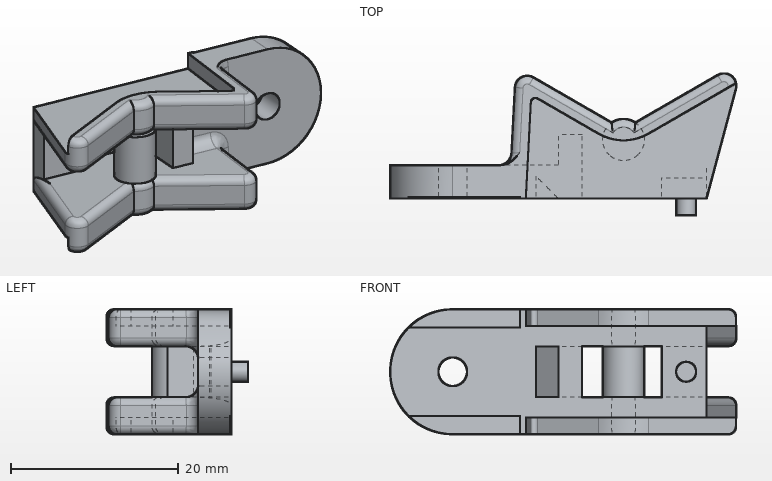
import cadquery as cq
import math


width = 15.0
half_width = width / 2
plate_thickness = 4.0
pivot_hole_diameter = 3.4
recess_inner_z = 5.3
recess_end_x = 8.05
recess_depth = 0.2
pin_x = 27.95
pin_diameter = 2.4
pin_length = 2.0

channel_width = 6.1
half_channel = channel_width / 2
overall_height = 15.0
front_foot_x = 6.73
front_draft = math.radians(3)
cradle_x = 20.45
cradle_slope = math.radians(30)
tip_radius = 1.5
rear_tip_x = 33.97
rear_lean = math.radians(15)
edge_radius = 1.0
foot_radius = 1.5

bar_radius = 2.5
bar_y = 7.05
web_top_y = 7.65
rear_floor_thickness = 2.45

pocket_floor_z = 5.5
pocket_foot_x = 8.75
rim_width = 1.95
pocket_valley_radius = 6.0
pocket_corner_radius = 0.55

wedge_start_x = 10.0
wedge_end_x = 12.65
window_start_x = 15.5
window_end_x = 25.0

tolerance = 0.001

rear_tip_center_x = rear_tip_x - tip_radius
rear_tip_center_y = overall_height - tip_radius
slope_run = math.tan(cradle_slope)
slope_cos = math.cos(cradle_slope)
cradle_y = rear_tip_center_y + tip_radius / slope_cos - (rear_tip_center_x - cradle_x) * slope_run

rear_lean_run = math.tan(rear_lean)
plate_end_x = rear_tip_center_x + tip_radius / math.cos(rear_lean) - rear_tip_center_y * rear_lean_run


def front_corner(foot_x, valley_y):
    """Point where a drafted front line meets the front slope of a V."""
    lean = math.tan(front_draft)
    y = (valley_y + (cradle_x - foot_x) * slope_run) / (1 + lean * slope_run)
    return foot_x + y * lean, y


def rear_corner():
    """Point where the leaning rear face meets the rear slope of the cradle."""
    y = (cradle_y + (plate_end_x - cradle_x) * slope_run) / (1 - rear_lean_run * slope_run)
    return plate_end_x + y * rear_lean_run, y


def slab(outline, z_low, z_high):
    """Extrude a wire workplane from z_low to z_high."""
    return outline.extrude(z_high - z_low).translate((0, 0, z_low))


def box(x_range, y_range, z_range):
    """Axis-aligned box from its three coordinate ranges."""
    size = [high - low for low, high in (x_range, y_range, z_range)]
    corner = (x_range[0], y_range[0], z_range[0])
    return cq.Workplane("XY").box(*size, centered=False).translate(corner)


def round_upright(solid, x, y, radius):
    """Fillet the Z-parallel edge of a solid that stands at (x, y)."""
    bounds = solid.val().BoundingBox()
    mid_z = (bounds.zmin + bounds.zmax) / 2
    return solid.edges(cq.selectors.NearestToPointSelector((x, y, mid_z))).fillet(radius)


def both_sides(solid):
    """The solid together with its mirror image in z = 0."""
    return solid.union(solid.mirror("XY"))


def make_plate():
    """Plate with a full-round front end."""
    nose = cq.Workplane("XZ").circle(half_width).extrude(-plate_thickness)
    slab_body = box((0, plate_end_x), (0, plate_thickness), (-half_width, half_width))
    return nose.union(slab_body)


def make_cheek():
    """Upper cheek with rounded tips, rounded outline edges and a bump in the cradle."""
    front_x, front_y = front_corner(front_foot_x, cradle_y)
    rear_x, rear_y = rear_corner()
    outline = (
        cq.Workplane("XY")
        .moveTo(front_foot_x, 0)
        .lineTo(front_x, front_y)
        .lineTo(cradle_x, cradle_y)
        .lineTo(rear_x, rear_y)
        .lineTo(plate_end_x, 0)
        .close()
    )
    cheek = slab(outline, half_channel, half_width)
    cheek = round_upright(cheek, front_x, front_y, tip_radius)
    cheek = round_upright(cheek, rear_x, rear_y, tip_radius)
    cheek = cheek.edges("(<Z or >Z) and (not <Y)").fillet(edge_radius)
    bump = slab(bar_outline(), half_channel, half_width)
    return cheek.union(bump.edges().fillet(edge_radius))


def bar_outline():
    """Circle of the cross bar."""
    return cq.Workplane("XY").center(cradle_x, bar_y).circle(bar_radius)


def is_foot_edge(edge):
    """True for edges where a cheek's front or inner face stands on the plate."""
    bounds = edge.BoundingBox()
    on_plate_top = bounds.ymax - bounds.ymin < tolerance and abs(bounds.ymax - plate_thickness) < tolerance
    ahead_of_window = bounds.xmin > front_foot_x
    on_cheek = half_channel - tolerance < abs(edge.Center().z) < half_width - tolerance
    return on_plate_top and ahead_of_window and on_cheek


def make_body():
    """Plate and cheeks joined with a concave fillet along the foot of each cheek."""
    body = make_plate().union(both_sides(make_cheek()))
    foot_edges = body.edges().filter(is_foot_edge)
    return body.newObject(foot_edges.vals()).fillet(foot_radius)


def make_side_pocket():
    """Cutter for the upper outer pocket, leaving a rim along the front and the cradle."""
    valley_y = cradle_y - rim_width / slope_cos
    corner_x, corner_y = front_corner(pocket_foot_x, valley_y)
    rear_x = rear_tip_x + tip_radius
    outline = (
        cq.Workplane("XY")
        .moveTo(pocket_foot_x, 0)
        .lineTo(corner_x, corner_y)
        .lineTo(cradle_x, valley_y)
        .lineTo(rear_x, valley_y + (rear_x - cradle_x) * slope_run)
        .lineTo(rear_x, 0)
        .close()
    )
    pocket = slab(outline, pocket_floor_z, half_width)
    pocket = round_upright(pocket, corner_x, corner_y, pocket_corner_radius)
    return round_upright(pocket, cradle_x, valley_y, pocket_valley_radius)


def make_recess():
    """Cutter for the upper shallow recess in the underside."""
    return box((-half_width, recess_end_x), (0, recess_depth), (recess_inner_z, half_width))


def make_wedge_pocket():
    """Cutter for the blind pocket whose floor slopes at 45 degrees."""
    depth = wedge_end_x - wedge_start_x
    outline = (
        cq.Workplane("XY")
        .moveTo(wedge_start_x, 0)
        .lineTo(wedge_start_x, depth)
        .lineTo(wedge_end_x, 0)
        .close()
    )
    return slab(outline, -half_channel, half_channel)


def make_part():
    """Body with channel, web, bar, pockets, pivot hole and locating pin."""
    channel = (-half_channel, half_channel)
    body = make_body()
    body = body.cut(box((window_start_x, rear_tip_x), (rear_floor_thickness, overall_height), channel))
    body = body.cut(box((window_start_x, window_end_x), (0, overall_height), channel))
    body = body.union(box((wedge_end_x, window_start_x), (0, web_top_y), channel))
    body = body.union(slab(bar_outline(), *channel))
    body = body.cut(both_sides(make_side_pocket())).cut(both_sides(make_recess()))
    body = body.cut(make_wedge_pocket())
    pivot_hole = cq.Workplane("XZ").circle(pivot_hole_diameter / 2).extrude(-plate_thickness)
    pin = cq.Workplane("XZ").center(pin_x, 0).circle(pin_diameter / 2).extrude(pin_length)
    return body.cut(pivot_hole).union(pin)


result = make_part()